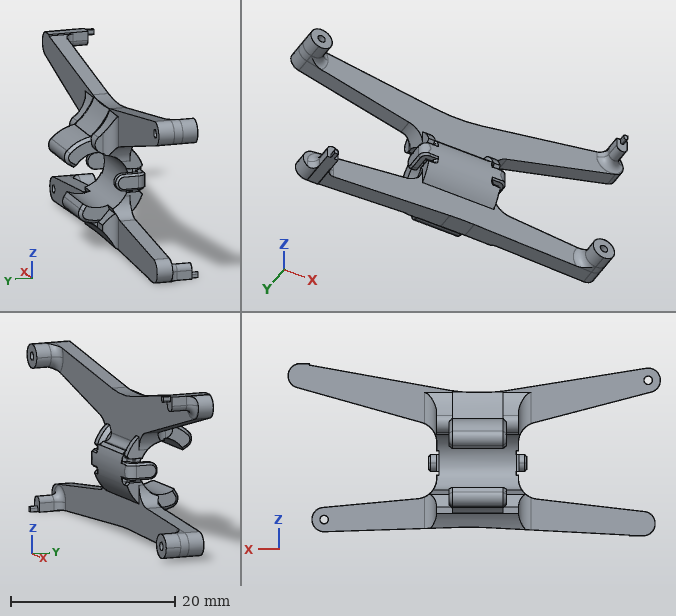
import cadquery as cq
import math

plate_front = -3.335
plate_thickness = 2.0
plate_back = plate_front + plate_thickness
arm_end_radius = 1.5
waist_half_width = 5.0
waist_fillet = 2.5
upper_edge_radius = 19.95
lower_edge_radius = 39.9
upper_corner = (0.05, 8.25)
lower_corner = (0.55, -7.8)
upper_waist_z = 4.4
lower_waist_z = -4.15

upper_left = (-20.77, 10.05)
upper_right = (21.6, 10.6)
lower_left = (-20.15, -7.4)
lower_right = (18.7, -6.9)

post_front = -6.35
boss_hole_radius = 0.5
root_fillet = 1.1
post_radius = 0.75
post_inset = 1.15
upper_post_x = 21.25
lower_post_x = -19.25
pin_width = 0.5
pin_height = 0.7
pin_length = 0.95
pin_corner_radius = 0.23

clip_y = 0.25
bore_radius = 3.5
clip_radius = 5.5
clip_front = clip_y - clip_radius
jaw_half_width = 3.5
jaw_chamfer = 0.4
jaw_tip_fillet = 1.15
upper_jaw_angle = 30.0
lower_jaw_angle = -58.0
flank_fillet = 1.5
jaw_root_angle = 120.0

upper_ramp_top = (plate_back, 8.57)
upper_ramp_middle = (-0.45, 6.9)
upper_ramp_end = (0.73, 5.75)
upper_shoulder_tip = (1.15, 4.9)
upper_shoulder_root = (0, 3.67)
lower_shoulder_root = (-1.2, -3.8)
lower_shoulder_tip = (0.2, -5.35)
lower_ramp_end = (0.2, -6.12)
lower_ramp_middle = (-0.65, -7.1)
lower_ramp_bottom = (plate_back, -8.45)

upper_web_top = (plate_back, 8.65)
upper_web_middle = (-0.35, 7.0)
upper_web_end = (1.15, 5.45)
lower_web_end = (1.35, -5.4)
lower_web_middle = (-0.15, -6.4)
lower_web_bottom = (-1.1, -7.8)

ear_half_width = 6.0
ear_half_height = 1.05
ear_back = -1.247
ear_end_radius = 0.98 * ear_half_height
ear_thickness = 0.95
ear_corner_radius = 1.15
ear_chamfer = 0.25
ear_root_x = 3.7
notch_inner_x = 4.17
notch_half_height = 1.475
notch_floor = -3.75
notch_chamfer = 0.4
notch_chamfer_start = -4.6
side_clearance_x = 4.7

groove_half_width = 3.5
groove_bevel = 0.55
groove_top_z = 3.25
groove_floor_z = 2.25
groove_lip_z = 1.882
groove_floor_back = -4.15
groove_floor_front = -4.423
groove_lip_y = -4.9

fillet_bend = 1 - math.sqrt(0.5)

beyond = 13.6


def front_plane(y):
    """Workplane at depth y whose local axes are X and Z and whose normal is -Y."""
    return cq.Workplane("XZ", origin=(0, y, 0))


def along_x(profile, half_width):
    """Extrude a YZ profile symmetrically along X."""
    return profile.extrude(half_width, both=True)


def tangent_point(point, center, side):
    """Touch point on an arm-end circle of the tangent from a point; side is +1 left, -1 right."""
    dx, dz = point[0] - center[0], point[1] - center[1]
    angle = math.atan2(dz, dx) - side * math.acos(arm_end_radius / math.hypot(dx, dz))
    return (center[0] + arm_end_radius * math.cos(angle), center[1] + arm_end_radius * math.sin(angle))


def round_corner(outline, before, corner, after, radius):
    """Continue an outline round a corner with a tangent arc."""
    to_before = math.atan2(before[1] - corner[1], before[0] - corner[0])
    to_after = math.atan2(after[1] - corner[1], after[0] - corner[0])
    middle = math.atan2(math.sin(to_before) + math.sin(to_after), math.cos(to_before) + math.cos(to_after))
    half_angle = abs(math.remainder(to_after - to_before, 2 * math.pi)) / 2
    reach = radius / math.tan(half_angle)
    arc_depth = radius / math.sin(half_angle) - radius

    def offset(angle, distance):
        return (corner[0] + distance * math.cos(angle), corner[1] + distance * math.sin(angle))

    start, end = offset(to_before, reach), offset(to_after, reach)
    return outline.lineTo(*start).threePointArc(offset(middle, arc_depth), end)


def arm_end_arc(outline, center, start_corner, end_corner):
    """Run along an arm from one corner, round its end and part of the way to the next corner."""
    start = tangent_point(start_corner, center, -1)
    end = tangent_point(end_corner, center, 1)
    tip = (center[0] + math.copysign(arm_end_radius, center[0]), center[1])
    return outline.lineTo(*start).threePointArc(tip, end)


def make_plate_prism(front, back):
    """Prism over the plate outline between two depths."""
    upper_waist = (waist_half_width, upper_waist_z)
    lower_waist = (waist_half_width, lower_waist_z)
    upper_waist_left = (-waist_half_width, upper_waist_z)
    lower_waist_left = (-waist_half_width, lower_waist_z)
    upper_edge = (tangent_point(upper_corner, upper_right, 1), upper_corner,
                  tangent_point(upper_corner, upper_left, -1))
    lower_edge = (tangent_point(lower_corner, lower_left, 1), lower_corner,
                  tangent_point(lower_corner, lower_right, -1))
    outline = front_plane(back).moveTo(*upper_waist)
    outline = arm_end_arc(outline, upper_right, upper_waist, upper_corner)
    outline = round_corner(outline, *upper_edge, upper_edge_radius)
    outline = arm_end_arc(outline, upper_left, upper_corner, upper_waist_left)
    outline = outline.lineTo(*upper_waist_left).lineTo(*lower_waist_left)
    outline = arm_end_arc(outline, lower_left, lower_waist_left, lower_corner)
    outline = round_corner(outline, *lower_edge, lower_edge_radius)
    outline = arm_end_arc(outline, lower_right, lower_corner, lower_waist)
    prism = outline.lineTo(*lower_waist).close().extrude(back - front)
    for x, z in (upper_waist, lower_waist, upper_waist_left, lower_waist_left):
        corner_edge = cq.selectors.NearestToPointSelector((x, (front + back) / 2, z))
        prism = prism.edges("|Y").edges(corner_edge).fillet(waist_fillet)
    return prism


def flared_stud(x, z, radius):
    """Cylinder on the plate front with a concave fillet around its root."""
    root_radius = radius + root_fillet
    bend = root_fillet * fillet_bend
    profile = (
        cq.Workplane("XY", origin=(x, 0, z))
        .moveTo(0, plate_front)
        .lineTo(root_radius, plate_front)
        .threePointArc((radius + bend, plate_front - bend), (radius, plate_front - root_fillet))
        .lineTo(radius, post_front)
        .lineTo(0, post_front)
        .close()
    )
    return profile.revolve(360, (0, 0, 0), (0, 1, 0))


def make_boss(center):
    return flared_stud(*center, arm_end_radius)


def make_boss_hole(center):
    return front_plane(beyond).center(*center).circle(boss_hole_radius).extrude(2 * beyond)


def make_post(x, outer_z):
    """Pin post, half round toward the arm and flat at outer_z, with a flared root."""
    outward = math.copysign(1, outer_z)
    center_z = outer_z - outward * post_inset
    root_radius = post_radius + root_fillet
    bend = root_fillet * fillet_bend
    round_side = flared_stud(x, center_z, post_radius)
    flat_side = (
        cq.Workplane("XY", origin=(x, 0, center_z))
        .moveTo(-root_radius, plate_front)
        .threePointArc((-post_radius - bend, plate_front - bend), (-post_radius, plate_front - root_fillet))
        .lineTo(-post_radius, post_front)
        .lineTo(post_radius, post_front)
        .lineTo(post_radius, plate_front - root_fillet)
        .threePointArc((post_radius + bend, plate_front - bend), (root_radius, plate_front))
        .close()
        .extrude(outward * post_inset)
    )
    stem = (
        front_plane(plate_back)
        .center(x, outer_z - outward * post_inset / 2)
        .rect(2 * post_radius, post_inset)
        .extrude(plate_back - post_front)
    )
    return round_side.union(flat_side), stem


def make_pin(x, outer_z):
    """Small pin flush with the flat of its post and rounded on the side facing the arm."""
    outward = math.copysign(1, outer_z)
    pin = (
        front_plane(post_front)
        .center(x, outer_z - outward * pin_height / 2)
        .rect(pin_width, pin_height)
        .extrude(pin_length)
    )
    inner_face = "<Z" if outward > 0 else ">Z"
    return pin.faces(inner_face).edges("|Y").fillet(pin_corner_radius)


def clip_point(radius, angle):
    """Point (y, z) on a circle about the bore axis; 0 degrees points to +Y."""
    turn = math.radians(angle)
    return (clip_y + radius * math.cos(turn), radius * math.sin(turn))


def make_jaws():
    """Narrow sectors, one per jaw, that reach out behind the plate; the bore is cut later."""
    jaws = []
    for tip_angle, side in ((upper_jaw_angle, 1), (lower_jaw_angle, -1)):
        tip = clip_point(clip_radius, tip_angle)
        middle = clip_point(clip_radius, (tip_angle + side * jaw_root_angle) / 2)
        root = clip_point(clip_radius, side * jaw_root_angle)
        sector = cq.Workplane("YZ").moveTo(clip_y, 0).lineTo(*tip).threePointArc(middle, root).close()
        jaw = along_x(sector, jaw_half_width)
        jaw = jaw.edges("|X").edges(cq.selectors.NearestToPointSelector((0, *tip))).fillet(jaw_tip_fillet)
        outer_face = cq.selectors.NearestToPointSelector((0, *middle))
        side_edges = jaw.faces(outer_face).edges(">X or <X")
        jaws.append(side_edges.chamfer(jaw_chamfer))
    return jaws


def make_back_block(plate_prism):
    """Ramps behind the plate that carry the jaws, full waist width with filleted flanks."""
    side = along_x(
        cq.Workplane("YZ")
        .moveTo(plate_front, upper_ramp_top[1])
        .lineTo(*upper_ramp_top)
        .threePointArc(upper_ramp_middle, upper_ramp_end)
        .threePointArc(upper_shoulder_tip, upper_shoulder_root)
        .lineTo(clip_y, 0)
        .lineTo(*lower_shoulder_root)
        .lineTo(*lower_shoulder_tip)
        .lineTo(*lower_ramp_end)
        .threePointArc(lower_ramp_middle, lower_ramp_bottom)
        .lineTo(plate_front, lower_ramp_bottom[1])
        .close(),
        beyond,
    )
    flared = waist_half_width + flank_fillet
    bend = flank_fillet * fillet_bend
    top = (
        cq.Workplane("XY")
        .moveTo(-flared, plate_front)
        .lineTo(-flared, plate_back)
        .threePointArc((-waist_half_width - bend, plate_back + bend),
                       (-waist_half_width, plate_back + flank_fillet))
        .lineTo(-waist_half_width, clip_radius)
        .lineTo(waist_half_width, clip_radius)
        .lineTo(waist_half_width, plate_back + flank_fillet)
        .threePointArc((waist_half_width + bend, plate_back + bend), (flared, plate_back))
        .lineTo(flared, plate_front)
        .close()
        .extrude(beyond, both=True)
    )
    return side.intersect(top).intersect(plate_prism)


def make_front_barrel():
    """Full-width front half of the clip, bulging out of the plate."""
    barrel = along_x(cq.Workplane("YZ").center(clip_y, 0).circle(clip_radius), waist_half_width)
    keep = cq.Workplane("XY").box(beyond, beyond, beyond).translate((0, plate_back - beyond / 2, 0))
    return barrel.intersect(keep)


def make_jaw_ramps():
    """Narrow webs that blend the plate back into the outside of both jaws."""
    upper = (
        cq.Workplane("YZ")
        .moveTo(*upper_web_top)
        .threePointArc(upper_web_middle, upper_web_end)
        .lineTo(plate_back, bore_radius)
        .close()
    )
    lower = (
        cq.Workplane("YZ")
        .moveTo(plate_back, lower_web_bottom[1])
        .lineTo(plate_back, -bore_radius)
        .lineTo(*lower_web_end)
        .threePointArc(lower_web_middle, lower_web_bottom)
        .close()
    )
    half_width = jaw_half_width - jaw_chamfer
    return along_x(upper, half_width).union(along_x(lower, half_width))


def make_bore():
    return along_x(cq.Workplane("YZ").center(clip_y, 0).circle(bore_radius), beyond)


def make_groove():
    """Cutter for the front groove, whose end walls are bevelled along the clip's round."""
    groove = along_x(
        cq.Workplane("YZ")
        .moveTo(plate_front, beyond)
        .lineTo(plate_front, groove_top_z)
        .threePointArc(
            (plate_front - fillet_bend * (plate_front - groove_floor_back),
             groove_floor_z + fillet_bend * (groove_top_z - groove_floor_z)),
            (groove_floor_back, groove_floor_z))
        .lineTo(groove_floor_front, groove_floor_z)
        .lineTo(groove_lip_y, groove_lip_z)
        .lineTo(-beyond, groove_lip_z)
        .lineTo(-beyond, beyond)
        .close(),
        groove_half_width,
    )
    bevel_zone = cq.Workplane("XY").box(beyond, beyond, beyond).translate(
        (0, plate_front - beyond / 2, groove_lip_z + beyond / 2))
    for end in (-1, 1):
        bevel_ring = (
            cq.Workplane("XY", origin=(0, clip_y, 0))
            .moveTo(end * groove_half_width, clip_radius - groove_bevel)
            .lineTo(end * groove_half_width, clip_radius + groove_bevel)
            .lineTo(end * (groove_half_width + 2 * groove_bevel), clip_radius + groove_bevel)
            .close()
            .revolve(360, (0, 0, 0), (1, 0, 0))
        )
        groove = groove.union(bevel_ring.intersect(bevel_zone))
    return groove


def make_notch():
    """Cutter on the +X side that frees the ear: slot, opened mouth and side clearance."""
    height = 2 * notch_half_height
    slot = cq.Workplane("XY").box(beyond, beyond, height).translate(
        (notch_inner_x + beyond / 2, notch_floor - beyond / 2, 0))
    mouth = (
        front_plane(notch_chamfer_start)
        .center(notch_inner_x + beyond / 2, 0)
        .rect(beyond, height)
        .extrude(notch_chamfer, taper=-45)
        .faces("<Y")
        .wires()
        .toPending()
        .workplane()
        .extrude(beyond)
    )
    clearance = cq.Workplane("XY").box(beyond, beyond, height).translate(
        (side_clearance_x + beyond / 2, 0, 0))
    ear_zone = cq.Workplane("XY").box(2 * ear_half_width, 2 * beyond, beyond)
    return slot.union(mouth).union(clearance).intersect(ear_zone)


def make_ear():
    """Hook-shaped ear on the +X side: an arm along the front and a rounded tab going back."""
    length = ear_back - clip_front
    width = ear_half_width - ear_root_x
    ear = cq.Workplane("XY").box(width, length, 2 * ear_half_height).translate(
        (ear_root_x + width / 2, clip_front + length / 2, 0))
    ear = ear.edges("|X and >Y").fillet(ear_end_radius)
    ear = ear.edges("|Z and >X and <Y").fillet(ear_corner_radius)
    ear = ear.faces(">X").edges(">Z or <Z").chamfer(ear_chamfer)
    hollow = cq.Workplane("XY").box(width, length, beyond).translate(
        (ear_half_width - ear_thickness - width / 2, clip_front + ear_thickness + length / 2, 0))
    round_front = along_x(cq.Workplane("YZ").center(clip_y, 0).circle(clip_radius), beyond)
    return ear.cut(hollow).intersect(round_front)


plate = make_plate_prism(plate_front, plate_back)
full_prism = make_plate_prism(post_front, clip_radius)

body = plate.union(make_front_barrel()).union(make_back_block(full_prism)).union(make_jaw_ramps())
for jaw in make_jaws():
    body = body.union(jaw)
body = body.cut(make_bore()).cut(make_groove())

notch = make_notch()
ear = make_ear()
for cutter in (notch, notch.mirror("YZ")):
    body = body.cut(cutter)
for hook in (ear, ear.mirror("YZ")):
    body = body.union(hook)

upper_outer_z = upper_right[1] + arm_end_radius
lower_outer_z = lower_left[1] - arm_end_radius
for x, outer_z in ((upper_post_x, upper_outer_z), (lower_post_x, lower_outer_z)):
    flared_part, stem = make_post(x, outer_z)
    body = body.union(flared_part.intersect(full_prism)).union(stem)
    body = body.union(make_pin(x, outer_z))

for center in (upper_left, lower_right):
    boss = make_boss(center).intersect(full_prism, clean=False)
    body = body.union(boss, clean=False).cut(make_boss_hole(center), clean=False)

result = body